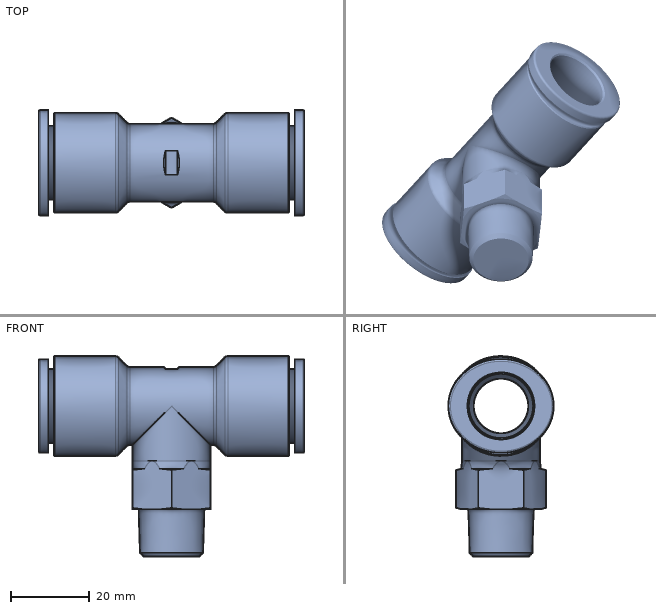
import cadquery as cq
import math

overall_length = 68.0
half_length = overall_length / 2
pipe_radius = 10.0
socket_radius = 12.8
socket_end = 30.1
socket_cone_start = 13.93
cone_blend_radius = 1.0
socket_rim_chamfer = 0.25

flange_width = 27.0
flange_height = 24.0
flange_thickness = 2.5
flange_edge_fillet = 0.5
neck_radius = 9.5
neck_overlap = 1.0

tube_radius = 8.2
tube_mouth_chamfer = 0.4
tube_stop = 12.0
passage_radius = 6.95

stem_flare_top = -14.0
hex_shoulder = -16.05
hex_bottom = -26.4
branch_end = -38.5
stem_flare_radius = 10.25
hex_across_flats = 20.0
hex_sides = 6
hex_half_angle = 180 / hex_sides
hex_corner_radius = hex_across_flats / 2 / math.cos(math.radians(hex_half_angle))
hex_corner_drop = 0.35
thread_top_radius = 8.45
thread_taper = 1 / 32
thread_end_chamfer = 1.0

notch_depth = 0.5
notch_floor_length = 3.0


def turn_about_x(half_profile):
    """Solid of revolution, symmetric about X = 0, from the (x, radius) points of its +X half."""
    mirrored_profile = [(-x, radius) for x, radius in reversed(half_profile)]
    end_x = half_profile[-1][0]
    return (
        cq.Workplane("XY")
        .moveTo(-end_x, 0)
        .polyline(mirrored_profile + half_profile, includeCurrent=True)
        .lineTo(end_x, 0)
        .close()
        .revolve(360, (0, 0, 0), (1, 0, 0))
    )


def circle_edges_near(x):
    """Selector for the edges lying wholly in a thin slab across the run pipe at the given x."""
    slab_half_thickness = 0.1
    return cq.selectors.BoxSelector(
        (x - slab_half_thickness, -flange_width, -flange_width),
        (x + slab_half_thickness, flange_width, flange_width),
        boundingbox=True,
    )


def make_run_pipe():
    """Waisted pipe turned about X, wider at both ends."""
    cone_length = socket_radius - pipe_radius
    waist_end = socket_cone_start - cone_length
    half_profile = [(waist_end, pipe_radius), (socket_cone_start, socket_radius), (socket_end, socket_radius)]
    pipe = turn_about_x(half_profile)
    pipe = pipe.faces("<X or >X").edges().chamfer(socket_rim_chamfer)
    for corner_x in (-socket_cone_start, -waist_end, waist_end, socket_cone_start):
        pipe = pipe.edges(circle_edges_near(corner_x)).fillet(cone_blend_radius)
    return pipe


def make_release_sleeve():
    """Sleeve at the +X end: oval flange outside, round neck reaching into the socket."""
    flange = (
        cq.Workplane("YZ")
        .workplane(offset=half_length - flange_thickness)
        .ellipse(flange_width / 2, flange_height / 2)
        .extrude(flange_thickness)
        .faces(">X")
        .edges()
        .fillet(flange_edge_fillet)
    )
    neck_start = socket_end - neck_overlap
    neck = (
        cq.Workplane("YZ")
        .workplane(offset=neck_start)
        .circle(neck_radius)
        .extrude(half_length - flange_thickness / 2 - neck_start)
    )
    return flange.union(neck)


def make_hexagon():
    """Chamfered hexagon with flats facing X; the flats also trim the stem flare above it."""
    envelope = (
        cq.Workplane("XZ")
        .moveTo(0, stem_flare_top)
        .lineTo(pipe_radius, stem_flare_top)
        .lineTo(stem_flare_radius, hex_shoulder)
        .lineTo(hex_corner_radius, hex_shoulder - hex_corner_drop)
        .lineTo(hex_corner_radius, hex_bottom + hex_corner_drop)
        .lineTo(stem_flare_radius, hex_bottom)
        .lineTo(0, hex_bottom)
        .close()
        .revolve(360, (0, 0, 0), (0, 1, 0))
    )
    bar = (
        cq.Workplane("XY")
        .workplane(offset=hex_bottom)
        .polygon(hex_sides, 2 * hex_corner_radius)
        .extrude(stem_flare_top - hex_bottom)
        .rotate((0, 0, 0), (0, 0, 1), hex_half_angle)
    )
    return bar.intersect(envelope)


def make_threaded_end():
    """Tapered round end below the hexagon, chamfered at its tip."""
    chamfer_top = branch_end + thread_end_chamfer
    thread_bottom_radius = thread_top_radius - thread_taper * (hex_bottom - chamfer_top)
    return (
        cq.Workplane("XZ")
        .moveTo(0, hex_bottom)
        .lineTo(thread_top_radius, hex_bottom)
        .lineTo(thread_bottom_radius, chamfer_top)
        .lineTo(thread_bottom_radius - thread_end_chamfer, branch_end)
        .lineTo(0, branch_end)
        .close()
        .revolve(360, (0, 0, 0), (0, 1, 0))
    )


def make_branch():
    """Stem, hexagon and tapered end stacked downwards from the run pipe's axis."""
    stem = cq.Workplane("XY").circle(pipe_radius).extrude(stem_flare_top)
    return stem.union(make_hexagon()).union(make_threaded_end())


def make_bore():
    """Through passage with a stepped tube socket and a chamfered mouth at each end."""
    tube_stop_cone = tube_radius - passage_radius
    half_profile = [
        (tube_stop - tube_stop_cone, passage_radius),
        (tube_stop, tube_radius),
        (half_length - tube_mouth_chamfer, tube_radius),
        (half_length, tube_radius + tube_mouth_chamfer),
    ]
    return turn_about_x(half_profile)


def make_notch():
    """Shallow flat on top of the pipe with 45 degree ends."""
    floor_z = pipe_radius - notch_depth
    half_floor = notch_floor_length / 2
    wall_height = 2 * notch_depth
    half_top = half_floor + wall_height
    return (
        cq.Workplane("XZ")
        .polyline([
            (-half_floor, floor_z),
            (half_floor, floor_z),
            (half_top, floor_z + wall_height),
            (-half_top, floor_z + wall_height),
        ])
        .close()
        .extrude(pipe_radius, both=True)
    )


sleeve = make_release_sleeve()
result = (
    make_run_pipe()
    .union(make_branch())
    .union(sleeve)
    .union(sleeve.mirror("YZ"))
    .cut(make_bore())
    .cut(make_notch())
)